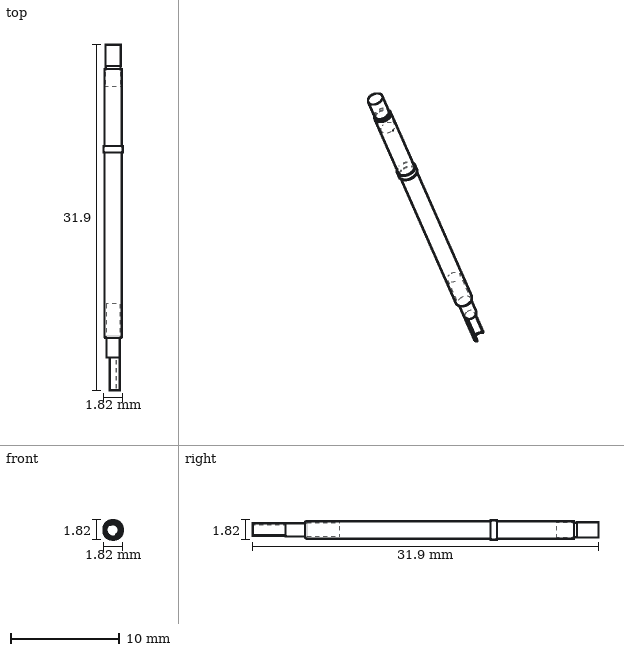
import cadquery as cq

total_length = 31.9

barrel_diameter = 1.63
barrel_front = 4.82
barrel_rear = 29.65
nose_radius = 0.2
collar_diameter = 1.82
collar_front = 21.95
collar_length = 0.57

plunger_diameter = 1.25
gutter_length = 3.03
gutter_wall = 0.1
gutter_tilt = 30.0
plunger_insertion = 3.2

tail_diameter = 1.45
tail_length = 1.98
neck_diameter = 1.37
plug_insertion = 1.6

plunger_rear = barrel_front + plunger_insertion
plug_front = barrel_rear - plug_insertion
tail_front = total_length - tail_length


def rod(diameter, start, end):
    """Round bar on the probe axis from Y = start to Y = end."""
    profile = cq.Workplane("XZ", origin=(0, start, 0)).circle(diameter / 2)
    return profile.extrude(start - end)


def make_barrel():
    """Collared sleeve with a blind socket at each end."""
    tube = rod(barrel_diameter, barrel_front, barrel_rear)
    tube = tube.faces("<Y").edges().fillet(nose_radius)
    collar = rod(collar_diameter, collar_front, collar_front + collar_length)
    plunger_socket = rod(plunger_diameter, barrel_front, plunger_rear)
    plug_socket = rod(neck_diameter, plug_front, barrel_rear)
    return tube.union(collar).cut(plunger_socket).cut(plug_socket)


def make_plunger():
    """Solid pin whose exposed tip is cut down to a half-round gutter."""
    pin = rod(plunger_diameter, 0, plunger_rear)
    bore = rod(plunger_diameter - 2 * gutter_wall, 0, gutter_length)
    opening = (
        cq.Workplane("XY")
        .box(plunger_diameter, gutter_length, 2 * plunger_diameter, centered=(True, False, True))
        .translate((-plunger_diameter / 2, 0, 0))
        .rotate((0, 0, 0), (0, 1, 0), -gutter_tilt)
    )
    return pin.cut(bore).cut(opening)


def make_tail_plug():
    """Tail cap on a slightly narrower neck that plugs into the barrel."""
    neck = rod(neck_diameter, plug_front, tail_front)
    cap = rod(tail_diameter, tail_front, total_length)
    return neck.union(cap)


barrel = make_barrel()
plunger = make_plunger()
tail_plug = make_tail_plug()

result = cq.Compound.makeCompound([barrel.val(), plunger.val(), tail_plug.val()])